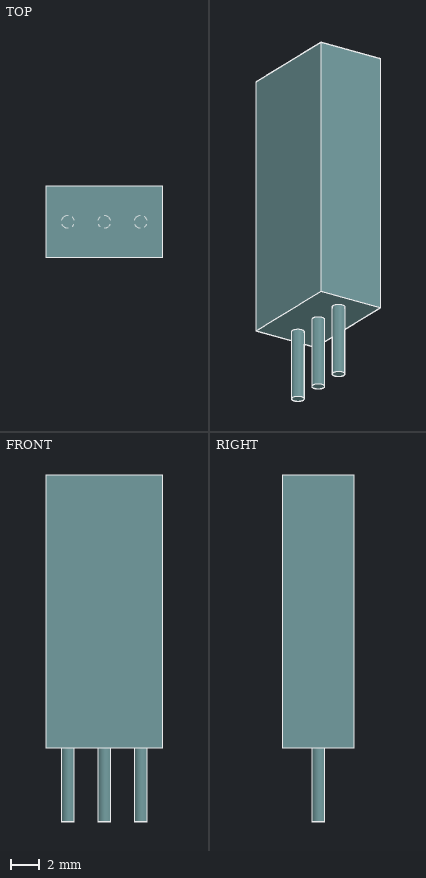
import cadquery as cq

total_height = 24.1
body_width = 8.1
body_depth = 5.0
body_height = 19.0

pin_count = 3
pin_diameter = 0.9
pin_pitch = 2.53
pin_length = total_height - body_height


def make_housing():
    """Plain rectangular block whose underside lies on Z = 0."""
    return cq.Workplane("XY").box(body_width, body_depth, body_height, centered=(True, True, False))


def make_pin(x):
    """Round pin hanging from the underside of the housing."""
    return cq.Workplane("XY").center(x, 0).circle(pin_diameter / 2).extrude(-pin_length)


housing = make_housing()

first_pin_x = -pin_pitch * (pin_count - 1) / 2
pins = [make_pin(first_pin_x + index * pin_pitch) for index in range(pin_count)]

result = cq.Compound.makeCompound([housing.val(), *[pin.val() for pin in pins]])